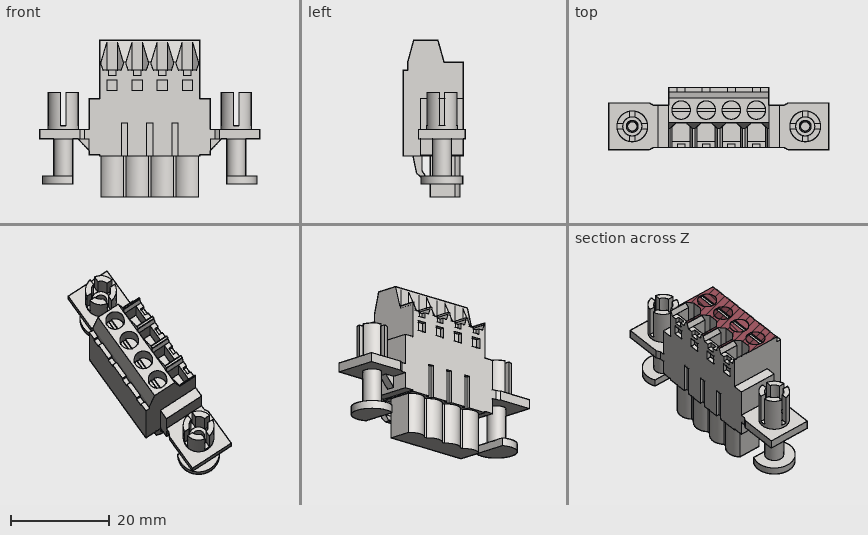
import cadquery as cq


half_turn = 180

pole_count = 4
pitch = 5.08
pole_xs = [(i - (pole_count - 1) / 2) * pitch for i in range(pole_count)]
boundary_xs = [x + pitch / 2 for x in pole_xs[:-1]]

body_width = 20.25
front_y = -4.3
back_y = 7.9
body_bottom_z = 8.33
wall_top_z = 27.35
top_z = 31.8
ridge_front_y = 0.8
ridge_back_y = 5.75
front_slope_foot_y = -0.45
back_slope_foot_y = 6.95
ledge_z = 25.75

shoulder_width = 24.58
shoulder_bottom_z = 8.6
shoulder_top_z = 19.95

funnel_back_width = 2.15
funnel_width = 4.55
funnel_taper_z = 26.95
pocket_width = 3.65
pocket_floor_z = shoulder_top_z
front_wall = 1.25
lip_z = ledge_z
funnel_back_y = 0.65

notch_width = 1.55
notch_height = 1.1
notch_depth = 0.8
window_size = 2.05
window_bottom_z = 21.65
window_depth = 0.9
key_width = 1.25
key_top_z = 15.05
key_depth = 0.65
back_groove_width = 1.6
back_groove_depth = 0.95

cell_width = 4.55
cell_front_y = -3.7
block_front_y = -2.65
block_back_y = 2.4
contact_block_width = (pole_count - 1) * pitch + cell_width

latch_outer_y = 5.88
latch_inner_y = 4.0
latch_bend_y = 5.15
latch_outer_bend_z = 4.9
latch_inner_bend_z = 5.35
latch_tip_y = 3.1
latch_tip_z = 4.0
latch_bottom_z = 3.8

flange_span = 44.5
flange_depth = 9.53
flange_bottom_z = 11.8
flange_top_z = 13.7
plate_inner_x = 14.05
neck_outer_x = 13.22
pin_x = 17.5
sleeve_radius = 3.1
sleeve_top_z = 21.2
sleeve_slot_width = 1.05
sleeve_slot_bottom_z = 14.45
gusset_outer_x = 14.5
gusset_bottom_z = 9.45
gusset_thickness = 1.8

pin_radius = 3.87 / 2
head_radius = 8.5 / 2
head_bottom_z = 2.65
head_thickness = 1.65
pin_hole_top_radius = 1.2
pin_hole_bottom_radius = 0.95
pin_hole_depth = 4.45

screw_y = 3.3
screw_radius = 1.85
screw_recess = 4.45
screw_length = 6.7
screw_slot_width = 0.65
screw_slot_depth = 0.65


def block(x_range, y_range, z_range):
    """Box between two limits along each axis."""
    (x0, x1), (y0, y1), (z0, z1) = x_range, y_range, z_range
    return cq.Workplane("XY").box(x1 - x0, y1 - y0, z1 - z0, centered=False).translate((x0, y0, z0))


def centred_block(x, width, y_range, z_range):
    """Box of the given width, centred on x."""
    return block((x - width / 2, x + width / 2), y_range, z_range)


def cylinder(x, y, radius, bottom_z, top_z):
    """Upright cylinder."""
    return cq.Workplane("XY", origin=(x, y, bottom_z)).circle(radius).extrude(top_z - bottom_z)


def side_prism(outline, width):
    """Outline of (y, z) points, extruded along X to both sides of the middle."""
    return cq.Workplane("YZ").polyline(outline).close().extrude(width / 2, both=True)


def make_body():
    """Main body with its sloped ridge and the two end shoulders."""
    outline = [
        (front_y, body_bottom_z),
        (front_y, wall_top_z),
        (front_slope_foot_y, wall_top_z),
        (ridge_front_y, top_z),
        (ridge_back_y, top_z),
        (back_slope_foot_y, wall_top_z),
        (back_slope_foot_y, ledge_z),
        (back_y, ledge_z),
        (back_y, body_bottom_z),
    ]
    shoulders = centred_block(0, shoulder_width, (front_y, -front_y), (shoulder_bottom_z, shoulder_top_z))
    return side_prism(outline, body_width).union(shoulders)


def make_contact_block():
    """Contact block with one rounded front per pole."""
    solid = centred_block(0, contact_block_width, (block_front_y, block_back_y), (0, body_bottom_z))
    for x in pole_xs:
        rounded_front = (
            cq.Workplane("XY")
            .moveTo(x - cell_width / 2, block_front_y)
            .threePointArc((x, cell_front_y), (x + cell_width / 2, block_front_y))
            .close()
            .extrude(body_bottom_z)
        )
        solid = solid.union(rounded_front)
    return solid


def make_latch():
    """Latch hanging behind the contact block, with its tip bent forward."""
    outline = [
        (latch_outer_y, body_bottom_z),
        (latch_bend_y, latch_outer_bend_z),
        (latch_inner_y, latch_bottom_z),
        (latch_tip_y, latch_bottom_z),
        (latch_tip_y, latch_tip_z),
        (latch_inner_y, latch_inner_bend_z),
        (latch_inner_y, body_bottom_z),
    ]
    return side_prism(outline, contact_block_width)


def make_flange():
    """Flange on the +X end: necked plate, slotted sleeve and gusset, without the pin hole."""
    half_depth = flange_depth / 2
    body_x = shoulder_width / 2
    plate = (
        cq.Workplane("XY", origin=(0, 0, flange_bottom_z))
        .polyline([
            (body_x, front_y),
            (neck_outer_x, front_y),
            (plate_inner_x, -half_depth),
            (flange_span / 2, -half_depth),
            (flange_span / 2, half_depth),
            (plate_inner_x, half_depth),
            (neck_outer_x, -front_y),
            (body_x, -front_y),
        ])
        .close()
        .extrude(flange_top_z - flange_bottom_z)
    )
    sleeve = cylinder(pin_x, 0, sleeve_radius, flange_top_z, sleeve_top_z)
    slot_zs = (sleeve_slot_bottom_z, sleeve_top_z)
    reach = (-sleeve_radius, sleeve_radius)
    sleeve = sleeve.cut(centred_block(pin_x, sleeve_slot_width, reach, slot_zs))
    half_slot = sleeve_slot_width / 2
    sleeve = sleeve.cut(centred_block(pin_x, 2 * sleeve_radius, (-half_slot, half_slot), slot_zs))
    gusset = (
        cq.Workplane("XZ")
        .polyline([(body_x, flange_bottom_z), (gusset_outer_x, flange_bottom_z), (body_x, gusset_bottom_z)])
        .close()
        .extrude(gusset_thickness / 2, both=True)
    )
    return plate.union(sleeve).union(gusset)


def funnel_cutter(x):
    """Wire funnel of one pole: a tapered entry over a deeper pocket, with slanted walls at the back."""
    half_back = funnel_back_width / 2
    half_wide = funnel_width / 2
    half_pocket = pocket_width / 2
    plan = (
        cq.Workplane("XY", origin=(x, 0, pocket_floor_z))
        .polyline([
            (-half_back, funnel_back_y),
            (-half_wide, front_slope_foot_y),
            (-half_wide, front_y),
            (half_wide, front_y),
            (half_wide, front_slope_foot_y),
            (half_back, funnel_back_y),
        ])
        .close()
        .extrude(top_z - pocket_floor_z)
    )
    opening = (
        cq.Workplane("XZ", origin=(x, front_y, 0))
        .polyline([
            (-half_pocket, pocket_floor_z),
            (-half_pocket, lip_z),
            (-half_wide, funnel_taper_z),
            (-half_wide, top_z),
            (half_wide, top_z),
            (half_wide, funnel_taper_z),
            (half_pocket, lip_z),
            (half_pocket, pocket_floor_z),
        ])
        .close()
        .extrude(front_y - back_y)
    )
    wall = centred_block(x, funnel_width, (front_y, front_y + front_wall), (pocket_floor_z, lip_z))
    return plan.intersect(opening).cut(wall)


def pole_cutters(x):
    """Everything cut from the housing at one pole."""
    return [
        funnel_cutter(x),
        centred_block(x, notch_width, (front_y, front_y + notch_depth), (lip_z - notch_height, lip_z)),
        centred_block(x, window_size, (front_y, front_y + window_depth),
                      (window_bottom_z, window_bottom_z + window_size)),
        centred_block(x, back_groove_width, (back_slope_foot_y, back_y),
                      (ledge_z - back_groove_depth, ledge_z)),
        cylinder(x, screw_y, screw_radius, top_z - screw_recess - screw_length, top_z),
    ]


def make_housing():
    """Plug housing: body, contact block, latch and flanges, with all its openings."""
    flange = make_flange()
    solid = make_body().union(make_contact_block()).union(make_latch())
    solid = solid.union(flange).union(flange.rotate((0, 0, 0), (0, 0, 1), half_turn))
    for x in pole_xs:
        for cutter in pole_cutters(x):
            solid = solid.cut(cutter)
    for x in boundary_xs:
        key_slot = centred_block(x, key_width, (front_y, front_y + key_depth), (body_bottom_z, key_top_z))
        solid = solid.cut(key_slot)
    for x in (-pin_x, pin_x):
        solid = solid.cut(cylinder(x, 0, pin_radius, flange_bottom_z, sleeve_top_z))
    return solid


def make_screw(x):
    """Clamping screw sunk in its hole, with a straight slot along X."""
    head_z = top_z - screw_recess
    screw = cylinder(x, screw_y, screw_radius, head_z - screw_length, head_z)
    half_slot = screw_slot_width / 2
    slot = centred_block(x, 2 * screw_radius, (screw_y - half_slot, screw_y + half_slot),
                         (head_z - screw_slot_depth, head_z))
    return screw.cut(slot)


def make_lock_pin(turn):
    """Lock pin on the +X end, turned about the plug's Z axis; its head is cut flat towards the plug."""
    head_top_z = head_bottom_z + head_thickness
    kept = block((pin_x - pin_radius, pin_x + head_radius), (-head_radius, head_radius),
                 (head_bottom_z, head_top_z))
    head = cylinder(pin_x, 0, head_radius, head_bottom_z, head_top_z).intersect(kept)
    shaft = cylinder(pin_x, 0, pin_radius, head_top_z, sleeve_slot_bottom_z)
    hole = (
        cq.Workplane("XY", origin=(pin_x, 0, sleeve_slot_bottom_z))
        .circle(pin_hole_top_radius)
        .workplane(offset=-pin_hole_depth)
        .circle(pin_hole_bottom_radius)
        .loft()
    )
    return head.union(shaft).cut(hole).rotate((0, 0, 0), (0, 0, 1), turn)


housing = make_housing()
screws = [make_screw(x) for x in pole_xs]
lock_pins = [make_lock_pin(turn) for turn in (0, half_turn)]

result = cq.Compound.makeCompound([
    *housing.solids().vals(),
    *[screw.solids().val() for screw in screws],
    *[pin.solids().val() for pin in lock_pins],
])